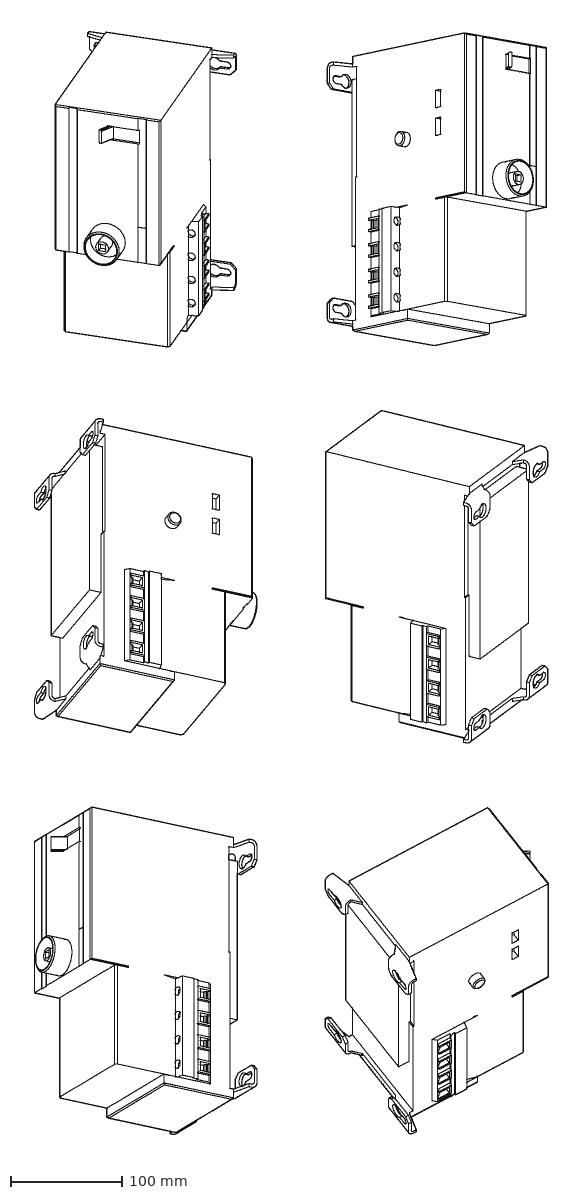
import cadquery as cq

HEIGHT = 252.0
WIDTH = 100.0
HALF_WIDTH = WIDTH / 2

FRONT_Y = -162.8
LEDGE_Y = -13.0
BACK_Y = -17.0
UPPER_BACK_Y = -18.1
LEDGE_THICKNESS = 9.8
BACK_STEP_Z = 141.0
HOOD_Z = 105.4
HOOD_BACK_Y = -123.3
LOWER_FRONT_Y = -136.9
FOOT_FRONT_Y = -86.2
EDGE_CHAMFER = 1.3
LOWER_CHAMFER = 2.0
SEAM_DEPTH = 0.8
SEAM_HEIGHT = 1.0

PLATE_HALF_WIDTH = 43.9
PLATE_BACK_Y = -5.5
PLATE_BOTTOM_Z = 80.0
PLATE_TOP_Z = 232.6

STRIP_INNER_X = 28.7
STRIP_OUTER_X = 36.5
LEFT_STRIP_DEPTH = 0.8
RIGHT_STRIP_DEPTH = 0.3
SHALLOW_STRIP_DEPTH = 0.13

LEVER_BOTTOM_Z = 225.3
LEVER_TOP_Z = 239.0
RECESS_RIGHT_X = 30.0
RECESS_DEPTH = 2.5
RECESS_FLOOR_Y = FRONT_Y + RECESS_DEPTH
LEVER_TIP_X = -5.3
LEVER_TIP_Y = -171.5
LEVER_NOSE_X = -2.5
LEVER_NOSE_Y = -173.2
LEVER_SLOPE = 1.7
LEVER_CHAMFER = 0.8

KNOB_Z = 123.3
KNOB_DIAMETER = 33.5
KNOB_FRONT_Y = -181.7
KNOB_BORE_RADIUS = 14.9
KNOB_BORE_DEPTH = 15.0
SPINDLE_RADIUS = 6.0
SPINDLE_SETBACK = 3.0
SPINDLE_SQUARE = 6.5
SPINDLE_SQUARE_DEPTH = 5.0

BUTTON_Y = -83.2
BUTTON_Z = 165.5
BUTTON_RADIUS = 6.5
BUTTON_REACH = 8.0
SLOT_FRONT_Y = -129.8
SLOT_HEIGHT = 16.0
SLOT_BOTTOMS_Z = (163.5, 189.0)
SLOT_DEPTH = 7.5

TERMINAL_X = 56.2
TERMINAL_BASE_X = 53.5
TERMINAL_FLOOR_X = 47.1
TERMINAL_BACK_Y = -41.0
TERMINAL_RIDGE_Y = -54.2
TERMINAL_FACE_Y = -70.5
TERMINAL_FACE_INNER_Y = -72.3
TERMINAL_HEEL_Y = -37.3
POCKET_FLOOR_END_Y = -75.5
RIDGE_FRONT_Y = -58.7
RIDGE_BACK_X = 55.7
RIDGE_FRONT_X = 54.5
TERMINAL_COUNT = 4
TERMINAL_PITCH = 23.5
TERMINAL_FIRST_Z = 22.5
CLAMP_HEIGHT = 12.4
WINDOW_HEIGHT = 8.3
WINDOW_FRONT_Y = -52.0
WINDOW_STEP_Y = -42.8
WINDOW_STEP_X = 52.0
WINDOW_WELL_Y = -44.5
WINDOW_WELL_X = 49.5
SCREW_X = 49.5
SCREW_RADIUS = 3.8
SCREW_DEPTH = 2.0

BRACKET_X = 69.0
BRACKET_INNER_X = 35.5
LEG_OUTER_Y = -8.3
LEG_INNER_X = 27.5
LEG_INNER_Y = -6.0
TAB_CHAMFER = 5.0
BRACKET_INSET_Z = 6.8
BRACKET_LENGTH = 23.5
SHEET = 3.0
BEND_RADIUS = 5.5
KEYHOLE_Z_FROM_END = 21.2
KEYHOLE_X = 49.0
KEYHOLE_RADIUS = 6.3
KEYHOLE_SLOT_X = 61.0
KEYHOLE_SLOT_RADIUS = 3.5


def block(x_range, y_range, z_range):
    """Box between pairs of coordinates."""
    sizes = [abs(b - a) for a, b in (x_range, y_range, z_range)]
    corner = [min(pair) for pair in (x_range, y_range, z_range)]
    return cq.Workplane("XY").box(*sizes, centered=False).translate(tuple(corner))


def prism(points, bottom_z, top_z):
    """Vertical prism over an XY outline."""
    return cq.Workplane("XY").workplane(offset=bottom_z).polyline(points).close().extrude(top_z - bottom_z)


def front_cylinder(x, z, radius, start_y, end_y):
    """Cylinder along Y from start_y forward to end_y."""
    plane = cq.Workplane("XZ", origin=(x, start_y, z))
    return plane.circle(radius).extrude(start_y - end_y)


def mirrored(half):
    """Copy of a left-hand feature together with its right-hand twin."""
    return half.union(half.mirror("YZ"))


def housing():
    width = (-HALF_WIDTH, HALF_WIDTH)
    hood = block(width, (HOOD_BACK_Y, FRONT_Y), (HOOD_Z, HEIGHT))
    hood = hood.faces("<Y").edges("not <Z").chamfer(EDGE_CHAMFER)
    lower = block(width, (BACK_Y, LOWER_FRONT_Y), (LEDGE_THICKNESS, HOOD_Z))
    lower = lower.faces("<Y").edges("|Z").chamfer(LOWER_CHAMFER)
    foot = block(width, (LEDGE_Y, FOOT_FRONT_Y), (0, LEDGE_THICKNESS))
    foot = foot.faces("<Z").edges().chamfer(EDGE_CHAMFER)
    ledge_bottom = HEIGHT - LEDGE_THICKNESS
    body = hood.union(lower).union(foot)
    body = body.union(block(width, (BACK_Y, HOOD_BACK_Y), (HOOD_Z, BACK_STEP_Z)))
    body = body.union(block(width, (UPPER_BACK_Y, HOOD_BACK_Y), (BACK_STEP_Z, HEIGHT)))
    body = body.union(block(width, (LEDGE_Y, UPPER_BACK_Y), (ledge_bottom, HEIGHT)))
    plate_width = (-PLATE_HALF_WIDTH, PLATE_HALF_WIDTH)
    plate = block(plate_width, (PLATE_BACK_Y, UPPER_BACK_Y), (PLATE_BOTTOM_Z, PLATE_TOP_Z))
    return body.union(plate)


def hood_seam():
    """Shallow side groove under the hood."""
    left = (-HALF_WIDTH, -HALF_WIDTH + SEAM_DEPTH)
    return mirrored(block(left, (HOOD_BACK_Y, FRONT_Y), (HOOD_Z, HOOD_Z + SEAM_HEIGHT)))


def front_strips():
    left_y = FRONT_Y + LEFT_STRIP_DEPTH
    right_y = FRONT_Y + RIGHT_STRIP_DEPTH
    shallow_y = FRONT_Y + SHALLOW_STRIP_DEPTH
    left = block((-STRIP_OUTER_X, -STRIP_INNER_X), (left_y, FRONT_Y), (HOOD_Z, HEIGHT))
    right = (STRIP_INNER_X, STRIP_OUTER_X)
    upper_right = block(right, (right_y, FRONT_Y), (BACK_STEP_Z, HEIGHT))
    lower_right = block(right, (shallow_y, FRONT_Y), (HOOD_Z, BACK_STEP_Z))
    return left.union(upper_right).union(lower_right)


def lever_x_at(start_x, start_y, y):
    """X where a line of the lever's slope through the start point reaches y."""
    return start_x + (y - start_y) / LEVER_SLOPE


def lever_recess():
    left_x = lever_x_at(LEVER_TIP_X, LEVER_TIP_Y, FRONT_Y)
    return block((left_x, RECESS_RIGHT_X), (RECESS_FLOOR_Y, FRONT_Y), (LEVER_BOTTOM_Z, LEVER_TOP_Z))


def lever():
    root_y = RECESS_FLOOR_Y + RECESS_DEPTH
    outline = [
        (lever_x_at(LEVER_TIP_X, LEVER_TIP_Y, root_y), root_y),
        (LEVER_TIP_X, LEVER_TIP_Y),
        (LEVER_NOSE_X, LEVER_NOSE_Y),
        (lever_x_at(LEVER_NOSE_X, LEVER_NOSE_Y, root_y), root_y),
    ]
    blade = prism(outline, LEVER_BOTTOM_Z, LEVER_TOP_Z)
    along_blade = cq.selectors.ParallelDirSelector(cq.Vector(1, LEVER_SLOPE, 0))
    return blade.edges(along_blade).chamfer(LEVER_CHAMFER)


def knob():
    body = front_cylinder(0, KNOB_Z, KNOB_DIAMETER / 2, FRONT_Y, KNOB_FRONT_Y)
    body = body.faces("<Y").edges().chamfer(EDGE_CHAMFER)
    bore_floor_y = KNOB_FRONT_Y + KNOB_BORE_DEPTH
    spindle_y = KNOB_FRONT_Y + SPINDLE_SETBACK
    body = body.cut(front_cylinder(0, KNOB_Z, KNOB_BORE_RADIUS, bore_floor_y, KNOB_FRONT_Y))
    body = body.union(front_cylinder(0, KNOB_Z, SPINDLE_RADIUS, bore_floor_y, spindle_y))
    half = SPINDLE_SQUARE / 2
    socket_depth = (spindle_y, spindle_y + SPINDLE_SQUARE_DEPTH)
    return body.cut(block((-half, half), socket_depth, (KNOB_Z - half, KNOB_Z + half)))


def side_button():
    plane = cq.Workplane("YZ", origin=(-HALF_WIDTH, BUTTON_Y, BUTTON_Z))
    button = plane.circle(BUTTON_RADIUS).extrude(-BUTTON_REACH)
    return button.faces("<X").edges().chamfer(EDGE_CHAMFER)


def side_slots():
    slots = cq.Workplane("XY")
    depth = (-HALF_WIDTH, -HALF_WIDTH + SLOT_DEPTH)
    for bottom in SLOT_BOTTOMS_Z:
        slots = slots.union(block(depth, (HOOD_BACK_Y, SLOT_FRONT_Y), (bottom, bottom + SLOT_HEIGHT)))
    return slots


def terminal_pocket():
    """Hollow in the housing side in front of the terminal strip."""
    outline = [
        (-HALF_WIDTH, TERMINAL_FACE_Y),
        (-TERMINAL_FLOOR_X, TERMINAL_FACE_Y),
        (-TERMINAL_FLOOR_X, POCKET_FLOOR_END_Y),
        (-HALF_WIDTH, FOOT_FRONT_Y),
    ]
    return prism(outline, LEDGE_THICKNESS, HOOD_Z)


def terminal_strip():
    outline = [
        (-TERMINAL_FLOOR_X, TERMINAL_HEEL_Y),
        (-HALF_WIDTH, TERMINAL_HEEL_Y),
        (-TERMINAL_BASE_X, TERMINAL_BACK_Y),
        (-TERMINAL_BASE_X, TERMINAL_RIDGE_Y),
        (-RIDGE_BACK_X, TERMINAL_RIDGE_Y),
        (-RIDGE_FRONT_X, RIDGE_FRONT_Y),
        (-TERMINAL_X, RIDGE_FRONT_Y),
        (-TERMINAL_X, TERMINAL_FACE_Y),
        (-TERMINAL_FLOOR_X, TERMINAL_FACE_INNER_Y),
    ]
    strip = prism(outline, LEDGE_THICKNESS, HOOD_Z)
    for index in range(TERMINAL_COUNT):
        z = TERMINAL_FIRST_Z + index * TERMINAL_PITCH
        clamp_z = (z - CLAMP_HEIGHT / 2, z + CLAMP_HEIGHT / 2)
        window_z = (z - WINDOW_HEIGHT / 2, z + WINDOW_HEIGHT / 2)
        clamp = block((-TERMINAL_X, -TERMINAL_BASE_X), (TERMINAL_BACK_Y, TERMINAL_RIDGE_Y), clamp_z)
        step = block((-TERMINAL_X, -TERMINAL_BASE_X), (TERMINAL_BACK_Y, WINDOW_FRONT_Y), window_z)
        strip = strip.union(clamp).cut(step)
    return strip


def terminal_holes():
    """Wire windows on the side and screw holes in the front of the strip."""
    window = [
        (-TERMINAL_BASE_X, WINDOW_STEP_Y),
        (-WINDOW_STEP_X, WINDOW_STEP_Y),
        (-WINDOW_STEP_X, WINDOW_WELL_Y),
        (-WINDOW_WELL_X, WINDOW_WELL_Y),
        (-WINDOW_WELL_X, WINDOW_FRONT_Y),
        (-TERMINAL_BASE_X, WINDOW_FRONT_Y),
    ]
    holes = cq.Workplane("XY")
    for index in range(TERMINAL_COUNT):
        z = TERMINAL_FIRST_Z + index * TERMINAL_PITCH
        holes = holes.union(prism(window, z - WINDOW_HEIGHT / 2, z + WINDOW_HEIGHT / 2))
        screw_y = TERMINAL_FACE_Y + SCREW_DEPTH
        holes = holes.union(front_cylinder(-SCREW_X, z, SCREW_RADIUS, screw_y, screw_y - 2 * SCREW_DEPTH))
    return holes


def bottom_left_bracket():
    """Bent sheet lug with a keyhole in its upright tab."""
    bottom = BRACKET_INSET_Z
    top = bottom + BRACKET_LENGTH
    leg_outline = [
        (-BRACKET_X, 0),
        (-BRACKET_X, LEG_OUTER_Y),
        (-HALF_WIDTH, LEDGE_Y),
        (-HALF_WIDTH + SHEET, UPPER_BACK_Y),
        (-LEG_INNER_X, UPPER_BACK_Y),
        (-LEG_INNER_X, LEDGE_Y),
        (-BRACKET_INNER_X, LEG_INNER_Y),
        (-BRACKET_INNER_X, 0),
    ]
    envelope = prism(leg_outline, bottom, top)
    section = (
        cq.Workplane("YZ", origin=(-BRACKET_X, 0, 0))
        .moveTo(UPPER_BACK_Y, bottom)
        .lineTo(-BEND_RADIUS, bottom)
        .radiusArc((0, bottom + BEND_RADIUS), -BEND_RADIUS)
        .lineTo(0, top)
        .lineTo(-SHEET, top)
        .lineTo(-SHEET, bottom + BEND_RADIUS)
        .radiusArc((-BEND_RADIUS, bottom + SHEET), BEND_RADIUS - SHEET)
        .lineTo(UPPER_BACK_Y, bottom + SHEET)
        .close()
        .extrude(BRACKET_X)
    )
    lug = envelope.intersect(section)
    lug = lug.edges("|Y and >Z").chamfer(TAB_CHAMFER)
    z = KEYHOLE_Z_FROM_END
    lug = lug.cut(front_cylinder(-KEYHOLE_X, z, KEYHOLE_RADIUS, 0, -SHEET))
    lug = lug.cut(front_cylinder(-KEYHOLE_SLOT_X, z, KEYHOLE_SLOT_RADIUS, 0, -SHEET))
    slot_z = (z - KEYHOLE_SLOT_RADIUS, z + KEYHOLE_SLOT_RADIUS)
    return lug.cut(block((-KEYHOLE_SLOT_X, -KEYHOLE_X), (0, -SHEET), slot_z))


def brackets():
    lower = mirrored(bottom_left_bracket())
    upper = lower.mirror("XY", (0, 0, HEIGHT / 2))
    return lower.union(upper)


result = housing().cut(hood_seam()).cut(front_strips()).cut(lever_recess()).cut(side_slots())
result = result.cut(mirrored(terminal_pocket())).union(mirrored(terminal_strip()))
result = result.cut(mirrored(terminal_holes()))
result = result.union(lever()).union(knob()).union(side_button()).union(brackets())